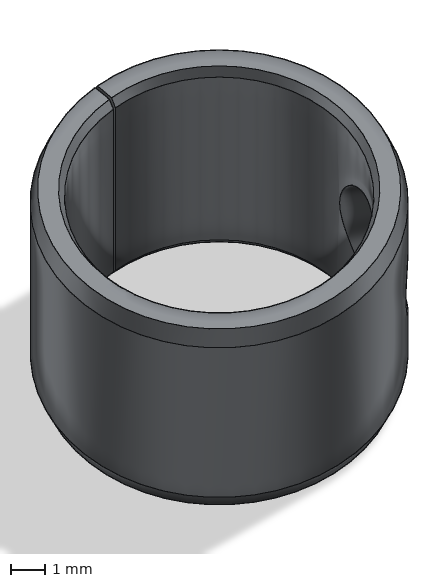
import cadquery as cq
import math

outer_diameter = 11.0
bore_diameter = 9.0
height = 8.0
outer_chamfer_height = 0.6
outer_chamfer_angle = 20.0
bore_chamfer_height = 0.3
bore_chamfer_angle = 30.0
joint_gap_angle = 1.0
oil_hole_diameter = 4.0
oil_hole_arc_fraction = 2 / 3

outer_radius = outer_diameter / 2
bore_radius = bore_diameter / 2
outer_chamfer_width = outer_chamfer_height * math.tan(math.radians(outer_chamfer_angle))
bore_chamfer_width = bore_chamfer_height * math.tan(math.radians(bore_chamfer_angle))
wall_start_angle = 180.0
wall_arc_angle = 360.0 - joint_gap_angle
oil_hole_angle = wall_start_angle + oil_hole_arc_fraction * wall_arc_angle


def rolled_wall():
    """Bushing wall standing on Z = 0, chamfered at both ends, with an open joint on -X."""
    end_outer_radius = outer_radius - outer_chamfer_width
    end_bore_radius = bore_radius + bore_chamfer_width
    section = [
        (end_bore_radius, 0),
        (end_outer_radius, 0),
        (outer_radius, outer_chamfer_height),
        (outer_radius, height - outer_chamfer_height),
        (end_outer_radius, height),
        (end_bore_radius, height),
        (bore_radius, height - bore_chamfer_height),
        (bore_radius, bore_chamfer_height),
    ]
    wall = cq.Workplane("XZ").polyline(section).close().revolve(wall_arc_angle, (0, 0, 0), (0, 1, 0))
    return wall.rotate((0, 0, 0), (0, 0, 1), wall_start_angle)


def oil_hole():
    """Radial cutter from the axis outward through one side of the wall at mid height."""
    cutter = cq.Workplane("YZ").circle(oil_hole_diameter / 2).extrude(outer_diameter)
    return cutter.rotate((0, 0, 0), (0, 0, 1), oil_hole_angle).translate((0, 0, height / 2))


result = rolled_wall().cut(oil_hole())